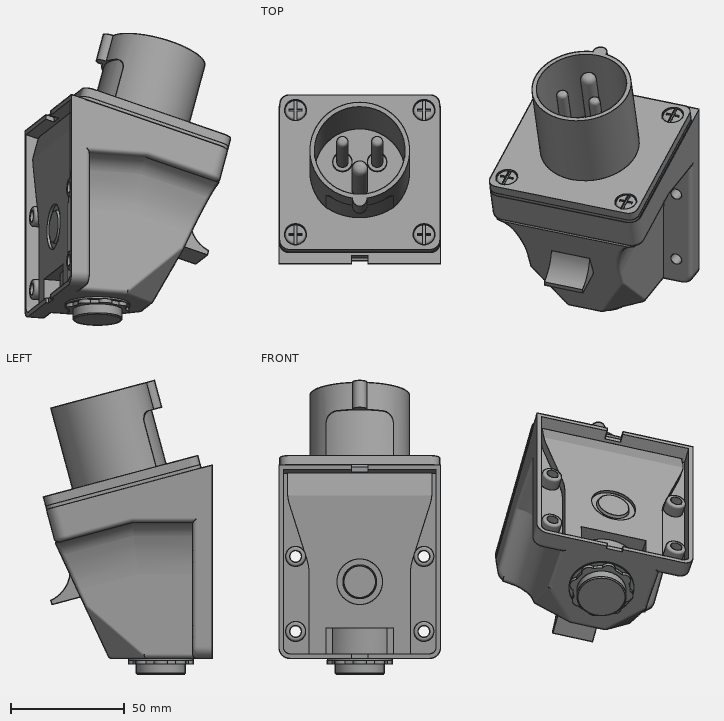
import cadquery as cq
import math


REACH = 129.1
TILT = 15.0
WIDTH = 71.0
SEAT_Z = 85.0
WALL = 2.1
LID_CENTRE = 40.2
LID_SIZE = 70.2
LID_RADIUS = 4.3
RIM_HEIGHT = 1.5

HEAD_DEPTH = 15.4
HEAD_MARGIN = 0.1
HEAD_LENGTH = LID_CENTRE + LID_SIZE / 2 + HEAD_MARGIN
HEAD_RADIUS = 5.2
FRAME_DEPTH = 8.7
FRAME_RADIUS = 4.9
EDGE_FILLET = 2.0

NECK_HALF_WIDTH = 22.2
COVE_START_Z = 37.0
COVE_START_HEIGHT = -38.0
COVE_RADIUS = 42.6
COVE_HEIGHT = 16.8
COVE_TOP_HALF_WIDTH = 32.4
NECK_FOOT_Y = 45.2
NECK_EDGE_FILLET = 1.5
NECK_OVERLAP = 6.5
CORNER_SIDE_LOW_Y = 28.8
CORNER_SIDE_HIGH_Z = 23.8
CORNER_FOOT_HALF_WIDTH = 7.7

HOOK_ARC = [(62.5, 36.9), (65.5, 29.8), (70.9, 25.6)]
HOOK_TIP = (70.4, 23.6)
HOOK_LENGTH = 18.1
HOOK_WIDTH = 18.1

RECESS_DEPTH = 6.6
PLATEAU_Y = 2.5
PLATEAU_TOP_Z = 71.5
PLATEAU_TOP_HALF_WIDTH = 31.8
PLATEAU_TOP_END_Z = 73.9
PLATEAU_RADIUS = 21.5
PLATEAU_BEND = 17.5
SLOT_WIDTH = 7.1
TOP_SLOT_DEPTH = 3.7
BOTTOM_SLOT_DEPTH = 1.3

POST_X = 28.1
POST_Z = (11.9, 44.8)
POST_DIAMETER = 8.8
POST_FACE_Y = 1.0
POST_FILLET = 1.0
POST_HOLE = 5.0

KNOCKOUT_Z = 33.7
KNOCKOUT_DIAMETER = 20.0
KNOCKOUT_DEPTH = 1.3
BUTTON_BASE_DIAMETER = 14.8
BUTTON_FACE_DIAMETER = 13.8

GLAND_Y = 22.6
WELL_HALF_WIDTH = 14.7
WELL_TOP_Z = 13.3
WELL_DEPTH = 11.5
WELL_COLUMN_RADIUS = 16.4
GLAND_DIAMETER = 28.5
GLAND_FLANGE = 0.8
NUT_BOTTOM = 2.5
NUT_CORE_DIAMETER = 25.2
NUT_LOBES = 8
NUT_LOBE_RADIUS = 3.2
GLAND_CAP_DIAMETER = 21.7
GLAND_BOTTOM = 7.0
GLAND_CHAMFER = 0.5

LID_TOP = 5.7
SLEEVE_TOP = 42.5
SLEEVE_DIAMETER = 43.8
SLEEVE_BORE = 39.8
SLEEVE_FLOOR = 4.8
KEY_WIDTH = 6.2
KEY_REACH = 25.3
KEY_BOTTOM = 30.2
RELIEF_HALF_WIDTH = 14.7
RELIEF_RADIUS = 25.8
RELIEF_DEPTH = 1.2
RELIEF_CORNER = 4.5

LINE_PIN_X = 7.6
LINE_PIN_OFFSET = 4.6
LINE_PIN_DIAMETER = 5.0
LINE_PIN_TOP = 40.7
COLLAR_DIAMETER = 8.5
COLLAR_HEIGHT = 1.0
EARTH_PIN_OFFSET = -7.5
EARTH_PIN_DIAMETER = 7.0
EARTH_PIN_TOP = 41.8
PIN_TIP_DIAMETER = 2.0

SCREW_PITCH = 56.4
SCREW_HOLE = 9.5
SCREW_DIAMETER = 9.3
SCREW_DEPTH = 1.5
SCREW_EDGE = 1.2
SCREW_SLOT_WIDTH = 1.2
SCREW_CROSS_WIDTH = 0.8
SCREW_CROSS_LENGTH = 5.8
SCREW_SLOT_DEPTH = 0.9

TOLERANCE = 0.1
SIN = math.sin(math.radians(TILT))
COS = math.cos(math.radians(TILT))
TAN = math.tan(math.radians(TILT))
LID_NORMAL = cq.Vector(0, SIN, COS)


def tilted(shape):
    """Move a shape built on the XY plane onto the tilted face."""
    return shape.rotate((0, 0, 0), (1, 0, 0), -TILT).translate((0, 0, SEAT_Z))


def side_point(along, height):
    """(Y, Z) of a point given along the tilted face and square to it."""
    return (along * COS + height * SIN, SEAT_Z - along * SIN + height * COS)


def side_prism(points, half_width):
    """Extrude a (Y, Z) outline to both sides of the middle plane."""
    return cq.Workplane("YZ").polyline(points).close().extrude(half_width, both=True)


def back_box(half_width, low_z, high_z, depth):
    """A box that starts at the back plane."""
    return cq.Workplane("XY").box(
        2 * half_width, depth, high_z - low_z, centered=(True, False, False)
    ).translate((0, 0, low_z))


def lid_plate(bottom, top):
    """A plate with the outline of the lid."""
    return (
        cq.Workplane("XY", origin=(0, LID_CENTRE, bottom))
        .rect(LID_SIZE, LID_SIZE)
        .extrude(top - bottom)
        .edges("|Z")
        .fillet(LID_RADIUS)
    )


def rod(x, z, diameter, start_y, end_y):
    """A cylinder along +Y."""
    return (
        cq.Workplane("XZ", origin=(x, start_y, z)).circle(diameter / 2).extrude(start_y - end_y)
    )


MITRE_SHIFT = COVE_START_Z - COVE_START_HEIGHT
HEAD_BOTTOM_Z = MITRE_SHIFT - HEAD_DEPTH


def mitre_y(z):
    """Y of the plane between the two parts of the neck."""
    return (z * (1 - COS) + SEAT_Z * COS - MITRE_SHIFT) / SIN


def cove_outline(shift, bottom, top):
    """Outline of the neck on XZ, its heights lowered by shift; the cove ends below the head."""
    start = COVE_START_Z - shift
    rise = HEAD_BOTTOM_Z - COVE_START_Z
    spread = COVE_RADIUS - math.sqrt(COVE_RADIUS**2 - COVE_HEIGHT**2)
    return (
        cq.Workplane("XZ")
        .moveTo(0, bottom)
        .lineTo(NECK_HALF_WIDTH, bottom)
        .lineTo(NECK_HALF_WIDTH, start)
        .tangentArcPoint((NECK_HALF_WIDTH + spread, start + COVE_HEIGHT), relative=False)
        .tangentArcPoint((COVE_TOP_HALF_WIDTH, start + rise), relative=False)
        .lineTo(COVE_TOP_HALF_WIDTH, top)
        .lineTo(0, top)
        .mirrorY()
    )


back_flare = cove_outline(0, 0, SEAT_Z).extrude(-REACH)
rear_flare = tilted(cove_outline(MITRE_SHIFT, -REACH, 0).extrude(-REACH))

head_rear_bottom = side_point(HEAD_LENGTH, -HEAD_DEPTH)
mitre_top = HEAD_BOTTOM_Z + NECK_OVERLAP

back_side = side_prism(
    [
        (RECESS_DEPTH, 0),
        (mitre_y(0), 0),
        (mitre_y(mitre_top), mitre_top),
        (RECESS_DEPTH, mitre_top),
    ],
    WIDTH,
)
rear_side = side_prism(
    [
        (mitre_y(0), 0),
        (NECK_FOOT_Y, 0),
        head_rear_bottom,
        side_point(HEAD_LENGTH - NECK_OVERLAP, -HEAD_DEPTH + NECK_OVERLAP),
        (mitre_y(mitre_top), mitre_top),
    ],
    WIDTH,
)
neck = back_flare.intersect(back_side).union(rear_flare.intersect(rear_side))


def corner_cutter(side):
    """Wedge that takes off one lower rear corner of the neck."""
    rise = CORNER_SIDE_HIGH_Z / head_rear_bottom[1]
    high_y = NECK_FOOT_Y + (head_rear_bottom[0] - NECK_FOOT_Y) * rise
    low = cq.Vector(side * NECK_HALF_WIDTH, CORNER_SIDE_LOW_Y, 0)
    high = cq.Vector(side * NECK_HALF_WIDTH, high_y, CORNER_SIDE_HIGH_Z)
    foot = cq.Vector(side * CORNER_FOOT_HALF_WIDTH, NECK_FOOT_Y, 0)
    normal = (high - low).cross(foot - low) * -side
    plane = cq.Plane(origin=low.toTuple(), normal=normal.toTuple())
    return cq.Workplane(plane).rect(REACH, REACH).extrude(REACH)


for side in (-1, 1):
    neck = neck.cut(corner_cutter(side))

rear_edges = cq.selectors.BoxSelector(
    (-WIDTH, CORNER_SIDE_LOW_Y + NECK_OVERLAP, NECK_EDGE_FILLET),
    (WIDTH, NECK_FOOT_Y + REACH, head_rear_bottom[1] - NECK_EDGE_FILLET),
)
neck = neck.edges(rear_edges).fillet(NECK_EDGE_FILLET)
neck = neck.edges("|Y").edges("<Z").fillet(EDGE_FILLET)

HOOK_ROOT = (HOOK_TIP[0] - HOOK_LENGTH, HOOK_TIP[1] + HOOK_LENGTH * TAN)
hook = (
    cq.Workplane("YZ")
    .moveTo(*HOOK_ARC[0])
    .threePointArc(HOOK_ARC[1], HOOK_ARC[2])
    .lineTo(*HOOK_TIP)
    .lineTo(*HOOK_ROOT)
    .close()
    .extrude(HOOK_WIDTH / 2, both=True)
)

head = side_prism(
    [
        (0, 0),
        (0, SEAT_Z),
        side_point(HEAD_LENGTH, 0),
        head_rear_bottom,
        (mitre_y(HEAD_BOTTOM_Z), HEAD_BOTTOM_Z),
        (FRAME_DEPTH, HEAD_BOTTOM_Z),
        (FRAME_DEPTH, 0),
    ],
    WIDTH / 2,
)
head = head.edges(cq.selectors.ParallelDirSelector(LID_NORMAL)).fillet(HEAD_RADIUS)
head = head.edges("|Y").edges("<Z").fillet(FRAME_RADIUS)


def is_underside(face):
    """True for the faces that look down or to the rear in the angle between head and frame."""
    middle = face.Center()
    normal = face.normalAt()
    facing = (cq.Vector(0, 1, 0), cq.Vector(0, 0, -1), -LID_NORMAL)
    return middle.y > FRAME_DEPTH - TOLERANCE and any((normal - way).Length < TOLERANCE for way in facing)


def is_bend(edge):
    """True for an edge right across the housing between two of those faces."""
    middle = edge.Center()
    return abs(middle.x) < TOLERANCE and abs(middle.z - HEAD_BOTTOM_Z) < TOLERANCE


outer_edges = [
    edge
    for face in head.faces().vals()
    if face.geomType() == "PLANE" and is_underside(face)
    for edge in face.Edges()
    if not (edge.geomType() == "LINE" and is_bend(edge))
]
head = head.newObject(outer_edges).fillet(EDGE_FILLET)

rim = tilted(lid_plate(0, RIM_HEIGHT))

cavity = side_prism(
    [
        (0, WALL),
        (0, SEAT_Z - WALL),
        (RECESS_DEPTH, SEAT_Z - WALL - RECESS_DEPTH * TAN),
        (RECESS_DEPTH, WALL),
    ],
    WIDTH / 2 - WALL,
)
cavity = cavity.edges("|Y").edges("<Z").fillet(FRAME_RADIUS - WALL)

plateau_side = side_prism(
    [
        (PLATEAU_Y, 0),
        (PLATEAU_Y, PLATEAU_TOP_Z),
        (PLATEAU_Y + (SEAT_Z - PLATEAU_TOP_Z) * TAN, SEAT_Z),
        (FRAME_DEPTH, SEAT_Z),
        (FRAME_DEPTH, 0),
    ],
    WIDTH / 2,
)
bend = math.radians(PLATEAU_BEND)
bend_width = PLATEAU_RADIUS * (1 - math.cos(bend))
bend_height = PLATEAU_RADIUS * math.sin(bend)
plateau = (
    cq.Workplane("XZ")
    .lineTo(NECK_HALF_WIDTH, 0)
    .lineTo(NECK_HALF_WIDTH, COVE_START_Z)
    .tangentArcPoint((NECK_HALF_WIDTH + bend_width, COVE_START_Z + bend_height), relative=False)
    .lineTo(PLATEAU_TOP_HALF_WIDTH - bend_width, PLATEAU_TOP_END_Z - bend_height)
    .tangentArcPoint((PLATEAU_TOP_HALF_WIDTH, PLATEAU_TOP_END_Z), relative=False)
    .lineTo(PLATEAU_TOP_HALF_WIDTH, SEAT_Z)
    .lineTo(0, SEAT_Z)
    .mirrorY()
    .extrude(-FRAME_DEPTH)
    .intersect(plateau_side)
)
cavity = cavity.cut(plateau)

top_slot = back_box(SLOT_WIDTH / 2, PLATEAU_TOP_Z, SEAT_Z, TOP_SLOT_DEPTH).cut(plateau)
bottom_slot = back_box(SLOT_WIDTH / 2, 0, WALL, BOTTOM_SLOT_DEPTH)

well = back_box(WELL_HALF_WIDTH, WALL, WELL_TOP_Z, WELL_DEPTH).cut(
    cq.Workplane("XY", origin=(0, GLAND_Y, 0)).circle(WELL_COLUMN_RADIUS).extrude(WELL_TOP_Z)
)

knockout = rod(0, KNOCKOUT_Z, KNOCKOUT_DIAMETER, PLATEAU_Y, PLATEAU_Y + KNOCKOUT_DEPTH)
button = (
    cq.Workplane("XZ", origin=(0, PLATEAU_Y + KNOCKOUT_DEPTH, KNOCKOUT_Z))
    .circle(BUTTON_BASE_DIAMETER / 2)
    .workplane(offset=KNOCKOUT_DEPTH)
    .circle(BUTTON_FACE_DIAMETER / 2)
    .loft()
)
knockout = knockout.cut(button)


def gland_disc(diameter, depth):
    """A disc that hangs down from the underside of the housing."""
    return cq.Workplane("XY", origin=(0, GLAND_Y, -depth)).circle(diameter / 2).extrude(depth)


gland_cap = gland_disc(GLAND_CAP_DIAMETER, GLAND_BOTTOM).faces("<Z").chamfer(GLAND_CHAMFER)
nut_lobes = (
    cq.Workplane("XY", origin=(0, GLAND_Y, -NUT_BOTTOM))
    .polarArray(GLAND_DIAMETER / 2 - NUT_LOBE_RADIUS, 0, 360, NUT_LOBES)
    .circle(NUT_LOBE_RADIUS)
    .extrude(NUT_BOTTOM)
)
gland = (
    gland_cap.union(gland_disc(GLAND_DIAMETER, GLAND_FLANGE))
    .union(gland_disc(NUT_CORE_DIAMETER, NUT_BOTTOM))
    .union(nut_lobes)
)

housing = head.union(neck).union(hook).union(rim).union(gland)
for cut in (cavity, top_slot, bottom_slot, well, knockout):
    housing = housing.cut(cut)

for x in (-POST_X, POST_X):
    for z in POST_Z:
        post = rod(x, z, POST_DIAMETER, POST_FACE_Y, RECESS_DEPTH)
        housing = housing.union(post.faces("<Y").edges().fillet(POST_FILLET))
        housing = housing.cut(rod(x, z, POST_HOLE, 0, FRAME_DEPTH))


def plug_rod(x, offset, diameter, bottom, top):
    """A cylinder square to the lid, placed from the lid centre."""
    return (
        cq.Workplane("XY", origin=(x, LID_CENTRE + offset, bottom))
        .circle(diameter / 2)
        .extrude(top - bottom)
    )


def pin(x, offset, diameter, top):
    """A contact pin with a rounded tip, fixed in the lid."""
    tip_fillet = (diameter - PIN_TIP_DIAMETER) / 2
    return plug_rod(x, offset, diameter, RIM_HEIGHT, top).faces(">Z").edges().fillet(tip_fillet)


def screw_cut(x, offset):
    """Gap around a screw head, less the head with its crossed slots."""
    bottom = LID_TOP - SCREW_DEPTH
    head = plug_rod(x, offset, SCREW_DIAMETER, bottom, LID_TOP)
    head = head.faces(">Z").edges().fillet(SCREW_EDGE)
    for length_x, length_y in (
        (SCREW_SLOT_WIDTH, SCREW_HOLE),
        (SCREW_CROSS_LENGTH, SCREW_CROSS_WIDTH),
    ):
        slot = (
            cq.Workplane("XY", origin=(x, LID_CENTRE + offset, LID_TOP))
            .rect(length_x, length_y)
            .extrude(-SCREW_SLOT_DEPTH)
        )
        head = head.cut(slot)
    return plug_rod(x, offset, SCREW_HOLE, bottom, LID_TOP).cut(head)


lid = lid_plate(RIM_HEIGHT, LID_TOP)
lid = lid.union(plug_rod(0, 0, SLEEVE_DIAMETER, LID_TOP, SLEEVE_TOP))

relief = (
    cq.Workplane("XZ", origin=(0, LID_CENTRE, 0))
    .rect(2 * RELIEF_HALF_WIDTH, 2 * KEY_BOTTOM)
    .extrude(SLEEVE_DIAMETER)
    .edges("|Y")
    .edges(">Z")
    .fillet(RELIEF_CORNER)
)
relief_offset = RELIEF_RADIUS - SLEEVE_DIAMETER / 2 + RELIEF_DEPTH
relief = relief.cut(plug_rod(0, relief_offset, 2 * RELIEF_RADIUS, 0, SLEEVE_TOP))
relief = relief.intersect(plug_rod(0, 0, 2 * SLEEVE_DIAMETER, LID_TOP, SLEEVE_TOP))
lid = lid.cut(relief)

key_centre = KEY_WIDTH / 2 - KEY_REACH
key = plug_rod(0, key_centre, KEY_WIDTH, KEY_BOTTOM, SLEEVE_TOP)
key_root = (
    cq.Workplane("XY", origin=(0, LID_CENTRE + key_centre / 2, KEY_BOTTOM))
    .rect(KEY_WIDTH, -key_centre)
    .extrude(SLEEVE_TOP - KEY_BOTTOM)
)
lid = lid.union(key).union(key_root).cut(plug_rod(0, 0, SLEEVE_BORE, SLEEVE_FLOOR, SLEEVE_TOP))

for x in (-LINE_PIN_X, LINE_PIN_X):
    collar = plug_rod(x, LINE_PIN_OFFSET, COLLAR_DIAMETER, SLEEVE_FLOOR, SLEEVE_FLOOR + COLLAR_HEIGHT)
    lid = lid.union(collar).union(pin(x, LINE_PIN_OFFSET, LINE_PIN_DIAMETER, LINE_PIN_TOP))
lid = lid.union(pin(0, EARTH_PIN_OFFSET, EARTH_PIN_DIAMETER, EARTH_PIN_TOP))

screw_offsets = (-SCREW_PITCH / 2, SCREW_PITCH / 2)
for x in screw_offsets:
    for offset in screw_offsets:
        lid = lid.cut(screw_cut(x, offset))
lid = tilted(lid)

result = cq.Compound.makeCompound([housing.val(), lid.val()])